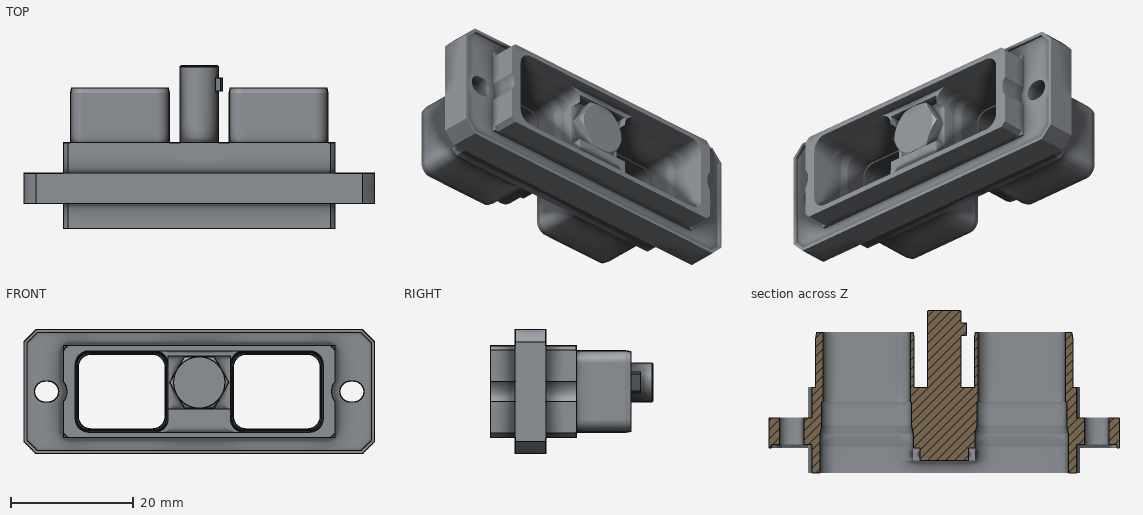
import cadquery as cq
import math


flange_length = 57.45
flange_height = 20.35
flange_corner = 2.0
flange_front = 4.1
flange_thickness = 5.0
rim_width = 0.5
recess_depth = 0.5

slot_spacing = 50.0
slot_length = 3.9
slot_height = 3.4

shell_length = 44.45
shell_height = 15.05
shell_corner = 0.75
shell_back = 14.1
flute_width = 3.3
flute_depth = 0.6

housing_length = 16.2
housing_height = 13.4
housing_center = 13.0
housing_radius = 2.0
housing_back = 23.05
housing_taper_length = 0.9
housing_taper_inset = 0.2
pocket_length = 15.2
pocket_height = 12.9
pocket_radius = 2.2
pocket_center = 12.7
mouth_height = 13.3
mouth_radius = 2.3
mouth_depth = 4.3
mouth_ramp_angle = 6.5
window_length = 14.2
window_height = 12.2
window_radius = 2.0
lip_width = 0.25
lip_front = 11.55
taper_start = 6.4
taper_end = 7.75

web_front = 2.0
channel_floor = 4.0
channel_height = 8.6
screw_z = 1.5

head_sides = 6
head_flats = 8.4
head_front = web_front
head_face_diameter = 8.4
head_chamfer_angle = 30.0
post_diameter = 6.4
post_back = 26.65
post_chamfer = 0.25

key_width = 2.1
key_height = 3.4
key_reach = 3.8
key_chamfer = 0.3
key_from_end = 3.1


def block(length, height, front, back, x=0.0, z=0.0):
    """Rectangular block between two Y positions, centred at (x, z)."""
    return cq.Workplane("XY").box(length, back - front, height).translate((x, (front + back) / 2, z))


def rounded_block(length, height, radius, front, back, x=0.0):
    return block(length, height, front, back, x).edges("|Y").fillet(radius)


def rounded_outline(length, height, radius):
    return cq.Sketch().rect(length, height).vertices().fillet(radius)


def rod(diameter, front, back, z=0.0):
    return cq.Workplane("XZ", origin=(0, front, z)).circle(diameter / 2).extrude(front - back)


def flange():
    back = flange_front + flange_thickness
    plate = block(flange_length, flange_height, flange_front, back).edges("|Y").chamfer(flange_corner)
    recess_length = flange_length - 2 * rim_width
    recess_height = flange_height - 2 * rim_width
    recess_corner = flange_corner - rim_width * (2 - math.sqrt(2))
    recess = block(recess_length, recess_height, flange_front, flange_front + recess_depth)
    plate = plate.cut(recess.edges("|Y").chamfer(recess_corner))
    slots = (
        cq.Workplane("XZ", origin=(0, flange_front, 0))
        .pushPoints([(-slot_spacing / 2, 0), (slot_spacing / 2, 0)])
        .slot2D(slot_length, slot_height)
        .extrude(-flange_thickness)
    )
    return plate.cut(slots)


def shell():
    body = block(shell_length, shell_height, 0, shell_back).edges("|Y").chamfer(shell_corner)
    body = body.union(block(shell_length, shell_height, flange_front, flange_front + recess_depth))
    flute_radius = ((flute_width / 2) ** 2 + flute_depth**2) / (2 * flute_depth)
    flute_x = shell_length / 2 - flute_depth + flute_radius
    for side in (-1, 1):
        flute = rod(2 * flute_radius, 0, shell_back).translate((side * flute_x, 0, 0))
        body = body.cut(flute)
    return body


def housing(x):
    body = rounded_block(housing_length, housing_height, housing_radius, flange_front, housing_back, x)
    return body.faces(">Y").chamfer(housing_taper_inset, housing_taper_length)


def opening(x):
    """Pocket with a ramped mouth, narrowing to a window out through the back of a housing."""
    bore_length = window_length + 2 * lip_width
    bore_height = window_height + 2 * lip_width
    mouth = rounded_block(pocket_length, mouth_height, mouth_radius, 0, mouth_depth, x)
    ramp_length = (mouth_height - pocket_height) / 2 / math.tan(math.radians(mouth_ramp_angle))
    ramp = (
        cq.Workplane("XZ", origin=(x, mouth_depth, 0))
        .placeSketch(rounded_outline(pocket_length, mouth_height, mouth_radius))
        .extrude(-ramp_length, taper=mouth_ramp_angle)
    )
    pocket = rounded_block(pocket_length, pocket_height, pocket_radius, 0, taper_start, x)
    funnel = (
        cq.Workplane("XZ", origin=(x, taper_start, 0))
        .placeSketch(
            rounded_outline(pocket_length, pocket_height, pocket_radius),
            rounded_outline(bore_length, bore_height, window_radius).moved(
                cq.Location(cq.Vector(0, 0, taper_start - taper_end))
            ),
        )
        .loft()
    )
    bore = rounded_block(bore_length, bore_height, window_radius, taper_end, lip_front, x)
    window = rounded_block(window_length, window_height, window_radius, lip_front, housing_back, x)
    return mouth.union(ramp).union(pocket).union(funnel).union(bore).union(window)


def cavity():
    length = 2 * pocket_center + pocket_length
    return rounded_block(length, mouth_height, mouth_radius, 0, web_front)


def channel():
    gap = 2 * pocket_center - pocket_length
    return block(gap, channel_height, web_front, channel_floor, z=screw_z)


def screw():
    """Hexagon head with a conically chamfered face, its post and the key on the post."""
    head_height = channel_floor - head_front
    head_corners = head_flats / math.cos(math.pi / head_sides)
    head = (
        cq.Workplane("XZ", origin=(0, channel_floor, screw_z))
        .polygon(head_sides, head_corners)
        .extrude(head_height)
    )
    base_radius = head_face_diameter / 2 + head_height / math.tan(math.radians(head_chamfer_angle))
    cone = (
        cq.Workplane("XZ", origin=(0, channel_floor, screw_z))
        .circle(base_radius)
        .extrude(head_height, taper=90 - head_chamfer_angle)
    )
    post = rod(post_diameter, channel_floor, post_back, screw_z).faces(">Y").chamfer(post_chamfer)
    key_y = post_back - key_from_end
    key = block(key_reach, key_height, key_y - key_width / 2, key_y + key_width / 2, key_reach / 2, screw_z)
    key = key.faces(">X").edges("|Y").chamfer(key_chamfer)
    return head.intersect(cone).union(post).union(key)


result = flange().union(shell())
for side in (-1, 1):
    result = result.union(housing(side * housing_center))

result = result.cut(cavity())
for side in (-1, 1):
    result = result.cut(opening(side * pocket_center))
result = result.cut(channel()).union(screw())

result = result.translate((0, -post_back / 2, 0))